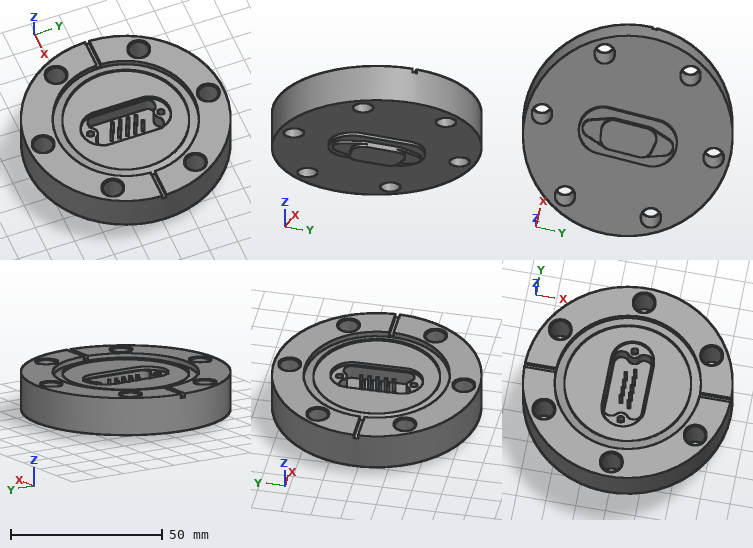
import cadquery as cq
import math

flange_diameter = 69.34
flange_thickness = 12.7
total_height = 16.0

bolt_count = 6
bolt_circle_diameter = 58.7
bolt_hole_diameter = 6.73
bolt_hole_chamfer = 0.4

recess_diameter = 48.31
recess_depth = 1.85
knife_edge_diameter = 41.91
knife_edge_depth = 0.65
seal_floor_depth = 1.3

groove_width = 1.5
groove_depth = 1.3

pocket_length = 31.0
pocket_width = 14.3
pocket_depth = 1.1
screw_spacing = 25.0
screw_hole_diameter = 2.26
screw_hole_depth = 4.0

cavity_length = 23.6
cavity_width = 12.76
cavity_depth = 4.8
cavity_corner_radius = 2.35
lug_radius = 2.4
lug_blend_radius = 2.0

pin_diameter = 0.94
pin_height = 4.85
pin_pitch = 2.77
pin_row_spacing = 2.92
wide_row_pins = 5

pad_length = 33.0
pad_width = 16.0
pad_thickness = 1.2
plate_thickness = 1.05
plate_end_radius = 2.9
plate_width = 10.3
plate_side_radius = 5.3
plate_taper = math.radians(19)
shell_length = 18.6
shell_width = plate_width
shell_taper = math.radians(10)
shell_wide_corner_radius = 3.9
shell_narrow_corner_radius = 3.5

seal_floor_z = flange_thickness - seal_floor_depth
ledge_z = seal_floor_z - pocket_depth
cavity_floor_z = ledge_z - cavity_depth
pad_bottom_z = -pad_thickness
plate_bottom_z = pad_bottom_z - plate_thickness
shell_bottom_z = flange_thickness - total_height
screw_centres = [(0, -screw_spacing / 2), (0, screw_spacing / 2)]


def level(z):
    return cq.Workplane("XY", origin=(0, 0, z))


def make_flange():
    return level(0).circle(flange_diameter / 2).extrude(flange_thickness)


def make_bolt_holes():
    """Through holes with a chamfered mouth at the top face."""
    radius = bolt_hole_diameter / 2
    mouth_radius = radius + bolt_hole_chamfer
    hole_profile = [
        (0, 0),
        (radius, 0),
        (radius, flange_thickness - bolt_hole_chamfer),
        (mouth_radius, flange_thickness),
        (0, flange_thickness),
    ]
    hole = cq.Workplane("XZ").polyline(hole_profile).close().revolve(360, (0, 0), (0, 1))
    pattern = level(0).polarArray(bolt_circle_diameter / 2, 90, 360, bolt_count)
    return pattern.eachpoint(hole.val(), combine=True)


def make_seal_recess():
    """Recess with a conical ring that rises inward to the knife edge, and a flat floor inside it."""
    knife_radius = knife_edge_diameter / 2
    recess_profile = [
        (0, seal_floor_z),
        (knife_radius, seal_floor_z),
        (knife_radius, flange_thickness - knife_edge_depth),
        (recess_diameter / 2, flange_thickness - recess_depth),
        (recess_diameter / 2, flange_thickness),
        (0, flange_thickness),
    ]
    return cq.Workplane("XZ").polyline(recess_profile).close().revolve(360, (0, 0), (0, 1))


def make_leak_grooves():
    bar = level(flange_thickness - groove_depth).rect(flange_diameter, groove_width).extrude(groove_depth)
    return bar.cut(level(0).circle(recess_diameter / 2).extrude(flange_thickness))


def make_cavity():
    """Rounded rectangle notched by the two lugs, with each notch blended into the end walls."""
    cavity = (
        level(cavity_floor_z)
        .rect(cavity_width, cavity_length)
        .extrude(cavity_depth)
        .edges("|Z")
        .fillet(cavity_corner_radius)
    )
    lugs = level(cavity_floor_z).pushPoints(screw_centres).circle(lug_radius).extrude(cavity_depth)
    notch_corners = cq.selectors.BoxSelector(
        (-lug_radius, -cavity_length, cavity_floor_z),
        (lug_radius, cavity_length, ledge_z),
    )
    return cavity.cut(lugs).edges("|Z").edges(notch_corners).fillet(lug_blend_radius)


def make_connector_pocket():
    pocket = level(ledge_z).slot2D(pocket_length, pocket_width, 90).extrude(pocket_depth)
    screw_holes = (
        level(ledge_z - screw_hole_depth)
        .pushPoints(screw_centres)
        .circle(screw_hole_diameter / 2)
        .extrude(screw_hole_depth)
    )
    return pocket.union(make_cavity()).union(screw_holes)


def pin_row(x, count):
    first_y = -pin_pitch * (count - 1) / 2
    return [(x, first_y + i * pin_pitch) for i in range(count)]


def make_pins():
    """Two staggered rows of pins, rooted in the cavity floor."""
    root_depth = 1.0
    wide_row = pin_row(pin_row_spacing / 2, wide_row_pins)
    narrow_row = pin_row(-pin_row_spacing / 2, wide_row_pins - 1)
    return (
        level(cavity_floor_z - root_depth)
        .pushPoints(wide_row + narrow_row)
        .circle(pin_diameter / 2)
        .extrude(root_depth + pin_height)
    )


def make_screw_plate():
    """Plate with round ends at the screws, whose tapered sides blend into a straight middle."""
    half_width = plate_width / 2
    end_y = screw_spacing / 2
    tip_x = plate_end_radius * math.cos(plate_taper)
    tip_y = end_y + plate_end_radius * math.sin(plate_taper)
    shoulder_x = half_width - plate_side_radius * (1 - math.cos(plate_taper))
    shoulder_y = tip_y - (shoulder_x - tip_x) / math.tan(plate_taper)
    middle_y = shoulder_y - plate_side_radius * math.sin(plate_taper)
    half_taper = plate_taper / 2
    bend_x = half_width - plate_side_radius * (1 - math.cos(half_taper))
    bend_y = middle_y + plate_side_radius * math.sin(half_taper)
    return (
        level(plate_bottom_z)
        .moveTo(half_width, -middle_y)
        .lineTo(half_width, middle_y)
        .threePointArc((bend_x, bend_y), (shoulder_x, shoulder_y))
        .lineTo(tip_x, tip_y)
        .threePointArc((0, end_y + plate_end_radius), (-tip_x, tip_y))
        .lineTo(-shoulder_x, shoulder_y)
        .threePointArc((-bend_x, bend_y), (-half_width, middle_y))
        .lineTo(-half_width, -middle_y)
        .threePointArc((-bend_x, -bend_y), (-shoulder_x, -shoulder_y))
        .lineTo(-tip_x, -tip_y)
        .threePointArc((0, -end_y - plate_end_radius), (tip_x, -tip_y))
        .lineTo(shoulder_x, -shoulder_y)
        .threePointArc((bend_x, -bend_y), (half_width, -middle_y))
        .close()
        .extrude(plate_thickness)
    )


def make_shell():
    """D-shaped shell: a trapezoid, wide on +X, with rounded corners."""
    half_width = shell_width / 2
    arc_centre_y = shell_length / 2 - shell_wide_corner_radius
    end_y_at_arc_centre = arc_centre_y + shell_wide_corner_radius / math.cos(shell_taper)
    wide_y = end_y_at_arc_centre + shell_wide_corner_radius * math.tan(shell_taper)
    narrow_y = wide_y - shell_width * math.tan(shell_taper)
    corners = [
        (half_width, -wide_y),
        (half_width, wide_y),
        (-half_width, narrow_y),
        (-half_width, -narrow_y),
    ]
    sharp_shell = level(shell_bottom_z).polyline(corners).close().extrude(plate_bottom_z - shell_bottom_z)
    wide_rounded = sharp_shell.edges("|Z and >X").fillet(shell_wide_corner_radius)
    return wide_rounded.edges("|Z and <X").fillet(shell_narrow_corner_radius)


def make_connector_base():
    pad = level(pad_bottom_z).slot2D(pad_length, pad_width, 90).extrude(pad_thickness)
    return pad.union(make_screw_plate()).union(make_shell())


result = (
    make_flange()
    .cut(make_bolt_holes())
    .cut(make_seal_recess())
    .cut(make_leak_grooves())
    .cut(make_connector_pocket())
    .union(make_pins())
    .union(make_connector_base())
)